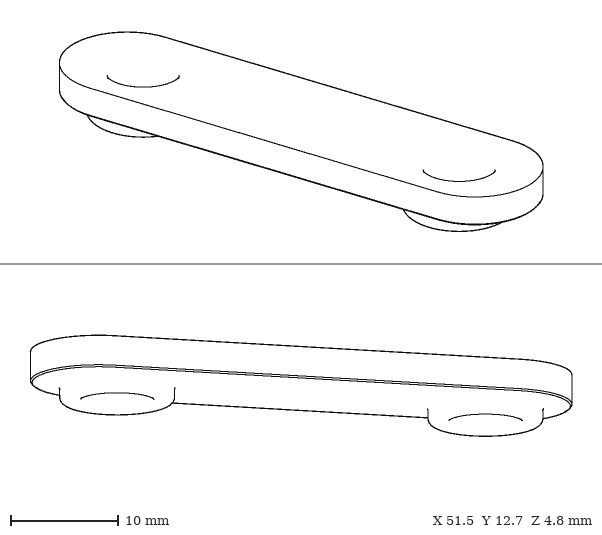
import cadquery as cq

plate_length = 51.55
plate_width = 12.7
total_height = 4.8
boss_height = 1.8
plate_thickness = total_height - boss_height
plate_edge_chamfer = 0.15

hole_spacing = 35.3
boss_diameter = 10.7
hole_diameter = 6.65
boss_root_radius = 0.5
boss_rim_radius = 0.5
hole_mouth_radius = 1.05
hole_exit_radius = 0.5

boss_centers = [(-hole_spacing / 2, 0), (hole_spacing / 2, 0)]


def make_plate():
    """Round-ended plate with its underside on Z = 0 and its lower edge broken."""
    plate = cq.Workplane("XY").slot2D(plate_length, plate_width).extrude(plate_thickness)
    return plate.faces("<Z").chamfer(plate_edge_chamfer)


def make_boss(center):
    """Boss hanging below the plate, flared at its root and rounded at its rim."""
    radius = boss_diameter / 2
    root_radius = radius + boss_root_radius
    rim_radius = radius - boss_rim_radius
    profile = (
        cq.Workplane("XZ")
        .lineTo(root_radius, 0)
        .radiusArc((radius, -boss_root_radius), -boss_root_radius)
        .lineTo(radius, boss_rim_radius - boss_height)
        .radiusArc((rim_radius, -boss_height), boss_rim_radius)
        .lineTo(0, -boss_height)
        .close()
    )
    return profile.revolve(360, (0, 0, 0), (0, 1, 0)).translate((*center, 0))


def make_hole_cutter(center):
    """Through hole that widens to a rounded mouth at the top and a smaller one at the bottom."""
    radius = hole_diameter / 2
    mouth_radius = radius + hole_mouth_radius
    exit_radius = radius + hole_exit_radius
    profile = (
        cq.Workplane("XZ")
        .moveTo(0, -boss_height)
        .lineTo(exit_radius, -boss_height)
        .radiusArc((radius, hole_exit_radius - boss_height), hole_exit_radius)
        .lineTo(radius, plate_thickness - hole_mouth_radius)
        .radiusArc((mouth_radius, plate_thickness), hole_mouth_radius)
        .lineTo(0, plate_thickness)
        .close()
    )
    return profile.revolve(360, (0, 0, 0), (0, 1, 0)).translate((*center, 0))


result = make_plate()
for boss_center in boss_centers:
    result = result.union(make_boss(boss_center))
for boss_center in boss_centers:
    result = result.cut(make_hole_cutter(boss_center))